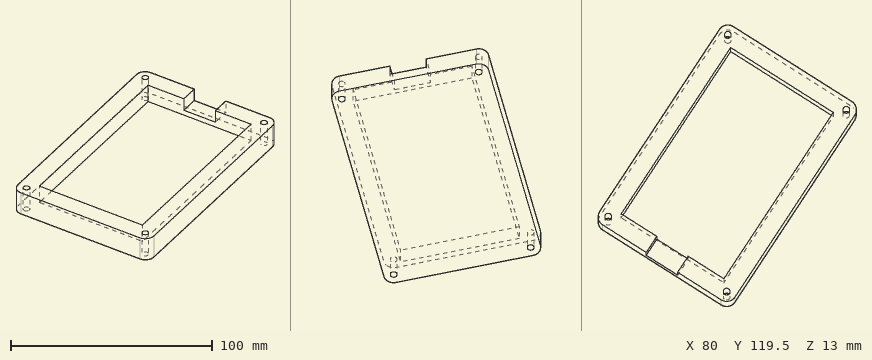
import cadquery as cq

width = 80.0
length = 119.5
height = 13.0
corner_radius = 5.0

wall = 9.7
floor_thickness = 3.0

notch_width = 18.5
notch_depth = 7.0

hole_diameter = 3.3

pocket_width = width - 2 * wall
pocket_length = length - 2 * wall
hole_spacing_x = width - 2 * corner_radius
hole_spacing_y = length - 2 * corner_radius

block = (
    cq.Workplane("XY")
    .rect(width, length)
    .extrude(height)
    .edges("|Z")
    .fillet(corner_radius)
)

pocket = (
    cq.Workplane("XY")
    .workplane(offset=floor_thickness)
    .rect(pocket_width, pocket_length)
    .extrude(height - floor_thickness)
)

notch = (
    cq.Workplane("XY")
    .workplane(offset=height - notch_depth)
    .center(0, (length - wall) / 2)
    .rect(notch_width, wall)
    .extrude(notch_depth)
)

holes = (
    cq.Workplane("XY")
    .rect(hole_spacing_x, hole_spacing_y, forConstruction=True)
    .vertices()
    .circle(hole_diameter / 2)
    .extrude(height)
)

result = block.cut(pocket).cut(notch).cut(holes)